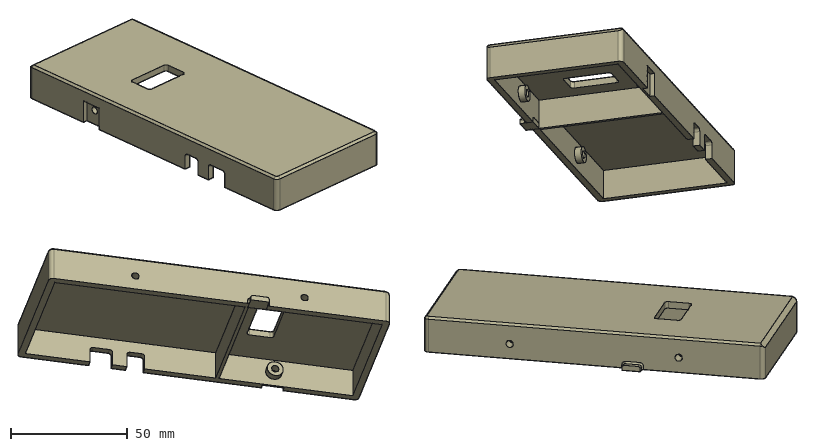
import cadquery as cq

length = 150.0
depth = 62.0
height = 16.0
wall = 3.0
corner_radius = 2.0
left_chamfer = 2.0
edge_chamfer = 1.0

window_left = 41.8
window_front = 19.6
window_width = 11.7
window_depth = 21.8
window_radius = 1.4

rib_left = 61.8
rib_thickness = 1.5

hole_diameter = 3.2
hole_height = 6.8
hole_from_end = 37.8
boss_diameter = 7.0
boss_length = 3.0

recess_width = 9.5
recess_height = 10.4
recess_depth = 2.1

notches = [(94.5, 7.8), (108.6, 9.9)]
notch_height = 7.6
notch_radius = 1.4

connector_left = 54.0
connector_width = 8.1
connector_height = 2.4
connector_overhang = 3.0
connector_radius = 1.0
flare_length = 0.9
flare_size = 0.8


def block(x, y, z, dx, dy, dz):
    """Box placed by its minimum corner."""
    return cq.Workplane("XY").box(dx, dy, dz, centered=False).translate((x, y, z))


def cylinder_y(x, y, z, diameter, reach):
    """Cylinder along +Y that starts at the given centre."""
    start = cq.Vector(x, y, z)
    along_y = cq.Vector(0, 1, 0)
    return cq.Workplane(cq.Solid.makeCylinder(diameter / 2, reach, start, along_y))


def prism_y(points, y, reach):
    """Prism along +Y over an outline of (X, Z) points."""
    return cq.Workplane("XZ", origin=(0, y, 0)).polyline(points).close().extrude(-reach)


def make_shell():
    """Open-bottomed box with rounded corners and a chamfered top rim, widest on the left."""
    outer = block(0, 0, 0, length, depth, height).edges("|Z").fillet(corner_radius)
    outer = outer.faces(">Z").chamfer(edge_chamfer)
    left_wedge = [(0, height), (left_chamfer, height), (0, height - left_chamfer)]
    outer = outer.cut(prism_y(left_wedge, 0, depth))
    return outer.cut(block(wall, wall, 0, length - 2 * wall, depth - 2 * wall, height - wall))


def make_window():
    """Cutter for the rounded window in the top plate."""
    window = block(window_left, window_front, height - wall, window_width, window_depth, wall)
    return window.edges("|Z").fillet(window_radius)


def make_recess():
    """Cutter for the square recess, open below and centred on the left hole."""
    recess_left = hole_from_end - recess_width / 2
    return block(recess_left, 0, 0, recess_width, recess_depth, recess_height)


def make_rib():
    """Full-height rib from the front wall to the rear wall."""
    return block(rib_left, wall, 0, rib_thickness, depth - 2 * wall, height - wall)


def make_notch(left, width):
    """Cutter for a cable notch: open below, rounded above, through the front wall."""
    notch = block(left, 0, 0, width, wall, notch_height)
    return notch.edges("|Y and >Z").fillet(notch_radius)


def connector_outline(grow):
    """Edges of the connector's section, flat below and round above, grown by the given amount."""
    section = block(connector_left - grow, 0, 0, connector_width + 2 * grow, wall, connector_height + grow)
    return section.edges("|Y and >Z").fillet(connector_radius + grow).faces("<Y").wires().val()


def make_connector():
    """Plug through the rear wall, with a collar that flares out against the wall."""
    plug_face = cq.Face.makeFromWires(connector_outline(0))
    reach = cq.Vector(0, wall + connector_overhang, 0)
    plug = cq.Workplane(cq.Solid.extrudeLinear(plug_face, reach)).translate((0, depth - wall, 0))
    wide_end = connector_outline(flare_size).translate(cq.Vector(0, depth, 0))
    narrow_end = connector_outline(0).translate(cq.Vector(0, depth + flare_length, 0))
    return plug.union(cq.Workplane(cq.Solid.makeLoft([wide_end, narrow_end], True)))


def add_screw_bosses(housing):
    """Drilled bosses inside: two on the rear wall and one behind the recess."""
    left_hole = hole_from_end
    right_hole = length - hole_from_end
    rear_boss_y = depth - wall - boss_length
    for x, boss_y in ((left_hole, wall), (left_hole, rear_boss_y), (right_hole, rear_boss_y)):
        housing = housing.union(cylinder_y(x, boss_y, hole_height, boss_diameter, boss_length))
    housing = housing.cut(cylinder_y(left_hole, 0, hole_height, hole_diameter, depth))
    return housing.cut(cylinder_y(right_hole, rear_boss_y, hole_height, hole_diameter, boss_length + wall))


def make_housing():
    """Shell with its window, recess, notches, bosses, rib and connector opening."""
    housing = make_shell()
    housing = housing.cut(make_window())
    housing = housing.cut(make_recess())
    for left, width in notches:
        housing = housing.cut(make_notch(left, width))
    housing = add_screw_bosses(housing)
    housing = housing.union(make_rib())
    return housing.cut(make_connector())


housing = make_housing()
connector = make_connector()
result = cq.Compound.makeCompound([housing.val(), connector.val()])